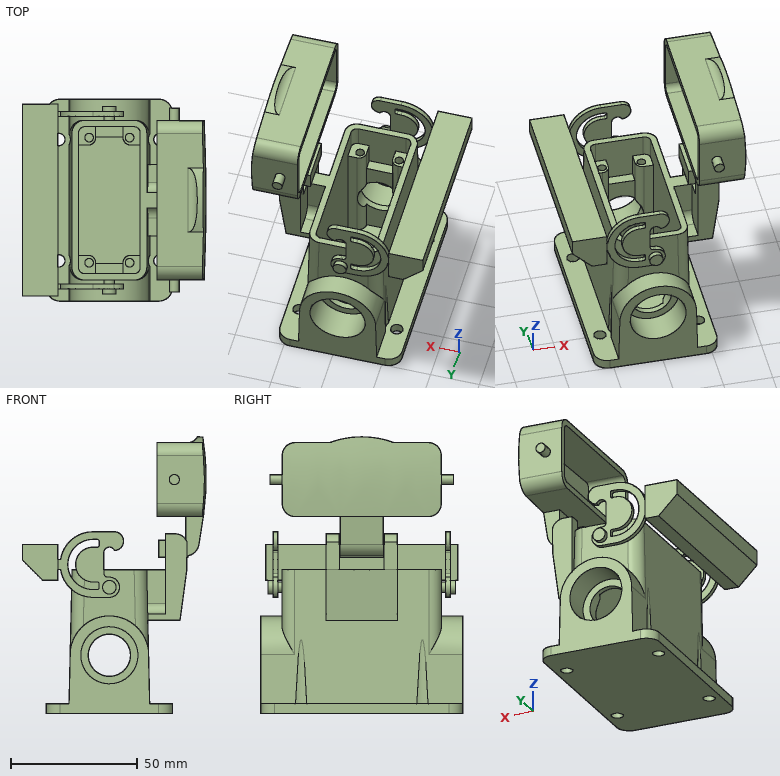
import cadquery as cq
import math

joint_overlap = 1.0

base_width, base_length, base_height = 50.0, 80.0, 4.0
base_corner_radius = 5.5
mount_x, mount_y = 20.0, 24.0
mount_hole_dia = 4.8
screw_clearance_radius = 4.57

housing_top = 57.0
foot_half_width = 16.0
rim_half_width = 14.8
shell_length = 63.2
shell_corner_radius = 5.0
wall_draft = (foot_half_width - rim_half_width) / (housing_top - base_height)

entry_z = 23.1
entry_hole_radius = 8.3
entry_bore_radius = 11.3
entry_bore_depth = 12.5

cavity_width, cavity_length = 24.4, 58.2
cavity_corner_radius = 2.5
cavity_floor = base_height
lower_cavity_length = 50.0
post_top = 48.0
post_hole_x, post_hole_y = 8.0, 24.75
post_hole_dia, post_hole_depth = 3.4, 9.0
post_width, post_length = 6.8, 7.3
post_corner_radius = 3.0


def wall_half_width(z):
    """Half width of the drafted housing wall at height z."""
    return foot_half_width - wall_draft * (z - base_height)


draft_angle = math.atan(wall_draft)
arch_radius = wall_half_width(entry_z) * math.cos(draft_angle)
arch_tangent_z = entry_z + arch_radius * math.sin(draft_angle)
arch_top = entry_z + arch_radius

hinge_width = 28.2
hinge_front, hinge_back = 22.15, 30.7
hinge_foot_back = 28.0
hinge_bottom, hinge_top = 36.9, 71.2
hinge_crown_start = 26.0
hinge_crown_end_z = 68.0
hinge_slot_width = 17.8
hinge_floor_thickness = 2.6
hinge_rib_width = 6.0
hinge_rib_fillet = 4.0
hinge_root_x = 13.5

pivot_z = 50.0
pivot_radius, pivot_head_radius = 2.1, 2.7
pivot_root_y = 30.3
pivot_reach = 37.1
plate_inner_y, plate_thickness = 33.15, 1.95
plate_center_x, plate_center_z = -6.5, 59.0
plate_radius = 13.0
eye_radius = 4.0
jaw_x = -2.15
jaw_corner_radius = 1.5
notch_z = 63.7
nose_x, nose_radius = 1.9, 3.75
slot_outer_radius, slot_inner_radius = 9.9, 6.9
slot_end_x, slot_end_radius = -4.05, 0.8
handle_left, handle_right = -34.4, -20.4
handle_bottom, handle_top = 52.75, 67.0
handle_chamfer, handle_length = 8.0, 76.0
neck_height = 4.0

lid_front, lid_back = 18.75, 38.35
lid_length, lid_height = 63.0, 29.4
lid_center_z = 92.6
lid_corner_radius = 5.2
lid_wall = 2.5
dome_height_radius = 105.0
dome_length_radius = 650.0
dome_margin = 10.0
lid_pin_x, lid_pin_radius, lid_pin_reach = 25.7, 2.0, 36.4
lip_width, lip_start_x, lip_top_x = 25.3, 31.15, 34.8
overall_height = 109.56
tongue_width, tongue_front = 17.1, 30.15
tongue_bottom, tongue_top_x = 62.3, 37.35
tongue_bend_x, tongue_bend_z = 35.5, 67.0
tongue_mid_x, tongue_mid_z = 34.1, 64.1
block_front, block_bottom, block_top = 19.5, 61.85, 68.7


def box_between(x_range, y_range, z_range):
    """Axis-aligned box from its limits."""
    sizes = [high - low for low, high in (x_range, y_range, z_range)]
    corner = (x_range[0], y_range[0], z_range[0])
    return cq.Workplane("XY").box(*sizes, centered=False).translate(corner)


def along_y(profile, length):
    """Extrude an XZ profile symmetrically about the plane Y = 0."""
    return profile.extrude(length / 2, both=True)


def rod_y(x, z, radius, y_start, y_end):
    """Round rod along Y."""
    rod = cq.Workplane("XZ").center(x, z).circle(radius).extrude(y_start - y_end)
    return rod.translate((0, y_start, 0))


def drafted_block(top, length):
    """Block above the base whose long sides lean inwards."""
    half_top = wall_half_width(top)
    profile = cq.Workplane("XZ").polyline([
        (-foot_half_width, base_height),
        (foot_half_width, base_height),
        (half_top, top),
        (-half_top, top),
    ]).close()
    return along_y(profile, length)


def make_shell():
    base = (
        cq.Workplane("XY")
        .rect(base_width, base_length)
        .extrude(base_height)
        .edges("|Z").fillet(base_corner_radius)
    )
    upper = drafted_block(housing_top, shell_length)
    upper = upper.edges("not(#Z)").fillet(shell_corner_radius)
    entry_block = drafted_block(arch_tangent_z, base_length)
    entry_arch = rod_y(0, entry_z, arch_radius, -base_length / 2, base_length / 2)
    return base.union(upper).union(entry_block).union(entry_arch)


def make_cavity():
    upper = (
        cq.Workplane("XY").workplane(offset=arch_top)
        .rect(cavity_width, cavity_length)
        .extrude(housing_top - arch_top)
        .edges("|Z").fillet(cavity_corner_radius)
    )
    lower = (
        cq.Workplane("XY").workplane(offset=cavity_floor)
        .rect(cavity_width, lower_cavity_length)
        .extrude(arch_top - cavity_floor)
    )
    cavity = upper.union(lower)
    for side_x in (-1, 1):
        for side_y in (-1, 1):
            cavity = cavity.cut(make_post(side_x, side_y))
    return cavity.union(make_post_holes())


def make_post(side_x, side_y):
    """Corner post that carries a screw of the insert."""
    return (
        cq.Workplane("XY").workplane(offset=cavity_floor)
        .rect(2 * post_width, 2 * post_length)
        .extrude(post_top - cavity_floor)
        .edges("|Z").fillet(post_corner_radius)
        .translate((side_x * cavity_width / 2, side_y * cavity_length / 2, 0))
    )


def make_post_holes():
    return (
        cq.Workplane("XY").workplane(offset=post_top - post_hole_depth)
        .rect(2 * post_hole_x, 2 * post_hole_y, forConstruction=True)
        .vertices()
        .circle(post_hole_dia / 2)
        .extrude(post_hole_depth)
    )


def cut_entries(body):
    half = base_length / 2
    body = body.cut(rod_y(0, entry_z, entry_hole_radius, -half, half))
    body = body.cut(rod_y(0, entry_z, entry_bore_radius, -half, -half + entry_bore_depth))
    return body.cut(rod_y(0, entry_z, entry_bore_radius, half - entry_bore_depth, half))


def cut_mounting_holes(body):
    spots = [(sx * mount_x, sy * mount_y) for sx in (-1, 1) for sy in (-1, 1)]
    holes = cq.Workplane("XY").pushPoints(spots).circle(mount_hole_dia / 2).extrude(base_height)
    clearances = (
        cq.Workplane("XY").workplane(offset=base_height)
        .pushPoints(spots).circle(screw_clearance_radius)
        .extrude(arch_top - base_height)
    )
    return body.cut(holes).cut(clearances)


def make_hinge():
    profile = (
        cq.Workplane("XZ")
        .moveTo(hinge_front, hinge_bottom)
        .lineTo(hinge_front, hinge_top)
        .lineTo(hinge_crown_start, hinge_top)
        .tangentArcPoint((hinge_back, hinge_crown_end_z), relative=False)
        .lineTo(hinge_back, housing_top)
        .lineTo(hinge_foot_back, hinge_bottom)
        .close()
    )
    plate = along_y(profile, hinge_width)
    half_slot = hinge_slot_width / 2
    slot = box_between((hinge_front, hinge_back), (-half_slot, half_slot), (housing_top, hinge_top))
    return plate.cut(slot).union(make_hinge_web())


def make_hinge_web():
    """Floor and filleted centre rib that tie the hinge plate to the housing."""
    half_floor, half_rib = hinge_width / 2, hinge_rib_width / 2
    floor_top = hinge_bottom + hinge_floor_thickness
    web_x = (hinge_root_x, hinge_front)
    floor = box_between(web_x, (-half_floor, half_floor), (hinge_bottom, floor_top))
    rib = box_between(web_x, (-half_rib, half_rib), (hinge_bottom, housing_top))
    web = floor.union(rib)
    mid_x = sum(web_x) / 2
    for corner_y in (-half_rib, half_rib):
        corner = cq.selectors.NearestToPointSelector((mid_x, corner_y, floor_top))
        web = web.edges(corner).fillet(hinge_rib_fillet)
    return web


def plate_disc(x, z, radius):
    """Disc as thick as the latch plate."""
    return rod_y(x, z, radius, 0, plate_thickness)


def plate_bar(x_range, z_range):
    """Rectangle as thick as the latch plate."""
    return box_between(x_range, (0, plate_thickness), z_range)


def make_latch_plate():
    """Flat latch plate: round back, hooked jaw above, pivot eye below."""
    top_z = plate_center_z + plate_radius
    back_z = (plate_center_z - plate_radius, top_z)
    eye_z = (pivot_z - eye_radius, pivot_z + eye_radius)
    plate = (
        plate_disc(plate_center_x, plate_center_z, plate_radius)
        .cut(plate_bar((plate_center_x, plate_center_x + plate_radius), back_z))
        .union(plate_bar((plate_center_x, jaw_x), back_z))
        .union(plate_bar((jaw_x, 0), eye_z))
        .edges(cq.selectors.NearestToPointSelector((jaw_x, plate_thickness / 2, eye_z[1])))
        .fillet(jaw_corner_radius)
        .union(plate_disc(0, pivot_z, eye_radius))
        .union(plate_bar((jaw_x, nose_x), (notch_z, top_z)))
        .union(plate_disc(nose_x, top_z - nose_radius, nose_radius))
        .cut(plate_disc(0, notch_z, -jaw_x))
    )
    return plate.cut(make_latch_slot())


def make_latch_slot():
    cx, cz = plate_center_x, plate_center_z
    outer, inner = slot_outer_radius, slot_inner_radius
    slot = (
        cq.Workplane("XZ")
        .moveTo(slot_end_x, cz + outer)
        .lineTo(cx, cz + outer)
        .threePointArc((cx - outer, cz), (cx, cz - outer))
        .lineTo(slot_end_x, cz - outer)
        .lineTo(slot_end_x, cz - inner)
        .lineTo(cx, cz - inner)
        .threePointArc((cx - inner, cz), (cx, cz + inner))
        .lineTo(slot_end_x, cz + inner)
        .close()
        .extrude(-plate_thickness)
    )
    return slot.edges("|Y").edges(">X").fillet(slot_end_radius)


def make_handle():
    profile = cq.Workplane("XZ").polyline([
        (handle_left, handle_top),
        (handle_right, handle_top),
        (handle_right, handle_bottom),
        (handle_left + handle_chamfer, handle_bottom),
        (handle_left, handle_bottom + handle_chamfer),
    ]).close()
    return along_y(profile, handle_length)


def make_latch():
    """Handle, two plates and their pivots."""
    latch = make_handle()
    plate = make_latch_plate()
    plate_outer_y = plate_inner_y + plate_thickness
    plate_left = plate_center_x - plate_radius
    neck = box_between(
        (handle_right, plate_left + joint_overlap),
        (plate_inner_y, plate_outer_y),
        (plate_center_z - neck_height / 2, plate_center_z + neck_height / 2),
    )
    side = (
        plate.translate((0, plate_inner_y, 0))
        .union(neck)
        .union(rod_y(0, pivot_z, pivot_radius, pivot_root_y, plate_outer_y))
        .union(rod_y(0, pivot_z, pivot_head_radius, plate_outer_y, pivot_reach))
    )
    return latch.union(side).union(side.mirror("XZ"))


def make_housing():
    housing = make_shell().cut(make_cavity())
    housing = cut_mounting_holes(cut_entries(housing))
    return housing.union(make_hinge()).union(make_latch())


def make_dome(offset):
    """Solid behind the crowned back of the lid, moved inwards by the offset."""
    crown = lid_back - offset
    axis_x = lid_back - dome_length_radius
    half = lid_height / 2 + dome_margin
    edge = crown - dome_height_radius + math.sqrt(dome_height_radius ** 2 - half ** 2)
    inner = lid_front - dome_margin
    angle = 2 * math.degrees(math.asin((lid_length / 2 + dome_margin) / dome_length_radius))
    dome = (
        cq.Workplane("XZ", origin=(axis_x, 0, lid_center_z))
        .moveTo(inner - axis_x, -half)
        .lineTo(edge - axis_x, -half)
        .threePointArc((crown - axis_x, 0), (edge - axis_x, half))
        .lineTo(inner - axis_x, half)
        .close()
        .revolve(angle, (0, 0), (0, 1))
    )
    return dome.rotate((axis_x, 0, 0), (axis_x, 0, 1), -angle / 2)


def lid_prism(inset):
    """Rounded rectangular bar along X, inset from the lid outline."""
    return (
        cq.Workplane("YZ", origin=(lid_front, 0, lid_center_z))
        .rect(lid_length - 2 * inset, lid_height - 2 * inset)
        .extrude(lid_back - lid_front)
        .edges("|X").fillet(lid_corner_radius - inset)
    )


def make_lip():
    """Finger lip: a circular segment across the lid with a hollow front."""
    lid_top = lid_center_z + lid_height / 2
    rise = overall_height - lid_top
    half = lip_width / 2
    segment = (
        cq.Workplane("YZ", origin=(lip_start_x, 0, 0))
        .moveTo(-half, lid_top)
        .threePointArc((0, overall_height), (half, lid_top))
        .lineTo(half, lid_top - joint_overlap)
        .lineTo(-half, lid_top - joint_overlap)
        .close()
        .extrude(lid_back - lip_start_x)
    )
    run = lip_top_x - lip_start_x
    hollow_radius = (run ** 2 + rise ** 2) / (2 * rise)
    hollow_z = lid_top + hollow_radius
    return segment.cut(rod_y(lip_start_x, hollow_z, hollow_radius, -half, half))


def make_tongue():
    """Curved arm below the lid with the block that sits in the hinge slot."""
    join_z = lid_center_z - lid_height / 2 + joint_overlap
    profile = (
        cq.Workplane("XZ")
        .moveTo(tongue_front, join_z)
        .lineTo(tongue_front, tongue_bottom)
        .threePointArc((tongue_mid_x, tongue_mid_z), (tongue_bend_x, tongue_bend_z))
        .tangentArcPoint((tongue_top_x, join_z), relative=False)
        .close()
    )
    half = tongue_width / 2
    block = box_between((block_front, tongue_front + joint_overlap), (-half, half), (block_bottom, block_top))
    return along_y(profile, tongue_width).union(block)


def make_lid():
    pin = rod_y(lid_pin_x, lid_center_z, lid_pin_radius, lid_length / 2 - joint_overlap, lid_pin_reach)
    lid = lid_prism(0).union(make_lip()).intersect(make_dome(0))
    lid = lid.cut(lid_prism(lid_wall).intersect(make_dome(lid_wall)))
    return lid.union(make_tongue()).union(pin).union(pin.mirror("XZ"))


housing = make_housing()
lid = make_lid()
result = cq.Compound.makeCompound([housing.val(), lid.val()])